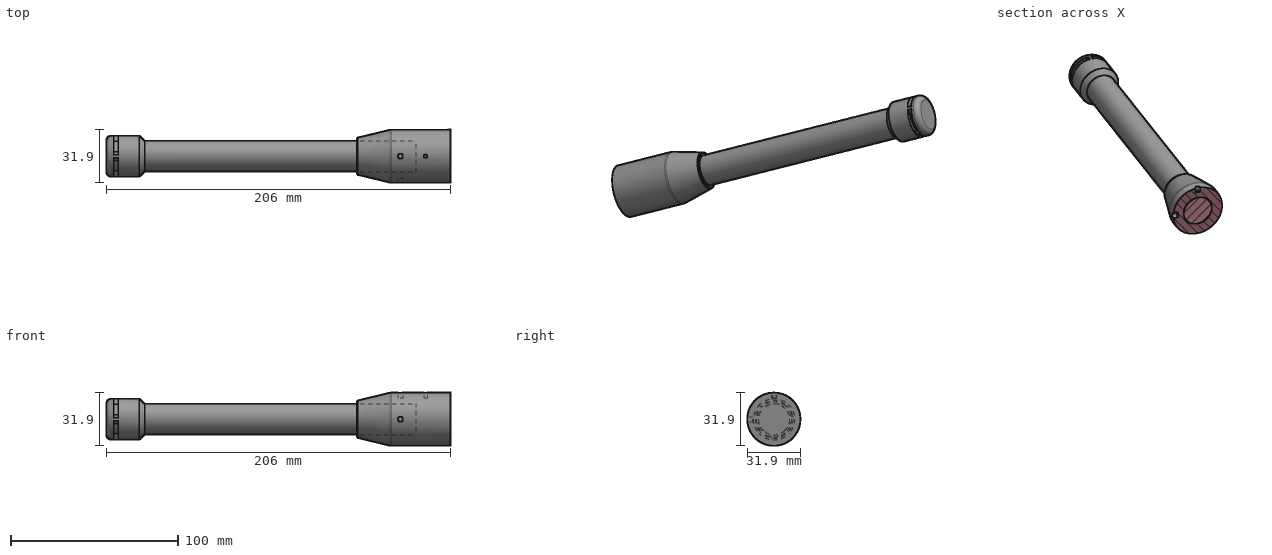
import cadquery as cq
import math

overall_length = 206.0

rod_radius = 9.3
head_radius = 12.4
head_shoulder_chamfer = head_radius - rod_radius
head_rim_fillet = 3.3
head_length = 23.0
groove_start = 4.7
groove_end = 7.2

rib_count = 4
rib_crest_width = 1.9
rib_flank_angle = 28.0

socket_radius = 15.96
socket_start = 150.0
taper_end = 170.0
nose_radius = 11.1
nose_chamfer = 0.6
taper_blend_radius = 4.1

set_hole_x = 176.0
set_hole_diameter = 3.0
set_hole_angles = (0, 90)
vent_hole_x = 191.0
vent_hole_diameter = 2.0
radial_hole_depth = 3.0

rod_end = set_hole_x + rod_radius


def rod_along_x(radius, start, end):
    """Solid cylinder about the X axis."""
    return cq.Workplane("YZ", origin=(start, 0, 0)).circle(radius).extrude(end - start)


def make_head_blank():
    """Head with a rounded front rim and a chamfered shoulder, not yet grooved."""
    head = rod_along_x(head_radius, 0, head_length)
    head = head.faces("<X").edges().fillet(head_rim_fillet)
    return head.faces(">X").edges().chamfer(head_shoulder_chamfer)


def make_ribbed_core():
    """Material left inside the groove: a round core with tapered ribs out to the head surface."""
    half_crest = rib_crest_width / 2
    half_base = half_crest + head_radius * math.tan(math.radians(rib_flank_angle))
    wedge = (
        cq.Workplane("YZ", origin=(groove_start, 0, 0))
        .polyline([(-half_base, 0), (half_base, 0), (half_crest, head_radius), (-half_crest, head_radius)])
        .close()
        .extrude(groove_end - groove_start)
    )
    core = rod_along_x(rod_radius, groove_start, groove_end)
    for i in range(rib_count):
        core = core.union(wedge.rotate((0, 0, 0), (1, 0, 0), i * 360 / rib_count))
    return core.intersect(rod_along_x(head_radius, groove_start, groove_end))


def make_handle():
    """Head and rod in one piece, with the ribbed groove around the head."""
    groove = rod_along_x(head_radius, groove_start, groove_end)
    groove = groove.cut(make_ribbed_core())
    rod = rod_along_x(rod_radius, head_length, rod_end)
    return make_head_blank().union(rod).cut(groove)


def radial_hole(x, diameter, angle):
    """Hole cutter driven inward from the socket surface; angle 0 is +Z and 90 is -Y."""
    cutter = cq.Workplane("XY", origin=(x, 0, socket_radius)).circle(diameter / 2).extrude(-radial_hole_depth)
    return cutter.rotate((0, 0, 0), (1, 0, 0), angle)


def make_socket():
    """Tapered collar with a bore for the rod and the radial holes."""
    socket = (
        cq.Workplane("XZ")
        .moveTo(socket_start, 0)
        .lineTo(socket_start, nose_radius)
        .lineTo(taper_end, socket_radius)
        .lineTo(overall_length, socket_radius)
        .lineTo(overall_length, 0)
        .close()
        .revolve(360, (0, 0, 0), (1, 0, 0))
    )
    socket = socket.faces("<X").edges().chamfer(nose_chamfer)
    taper_edge = cq.selectors.NearestToPointSelector((taper_end, 0, 0))
    socket = socket.edges(taper_edge).fillet(taper_blend_radius)
    socket = socket.cut(rod_along_x(rod_radius, socket_start, rod_end))
    for angle in set_hole_angles:
        socket = socket.cut(radial_hole(set_hole_x, set_hole_diameter, angle))
    return socket.cut(radial_hole(vent_hole_x, vent_hole_diameter, 0))


handle = make_handle()
socket = make_socket()
result = cq.Compound.makeCompound([handle.val(), socket.val()])